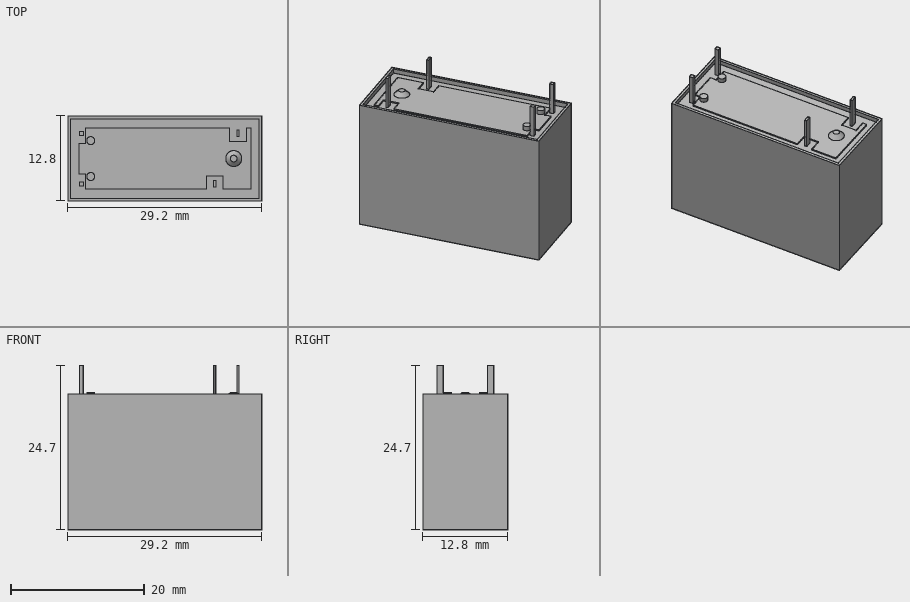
import cadquery as cq

LENGTH = 29.2
WIDTH = 12.8
TOTAL_HEIGHT = 24.74
PIN_PROTRUSION = 4.3
RIM_HEIGHT = TOTAL_HEIGHT - PIN_PROTRUSION
WALL = 0.42
RECESS_DEPTH = 0.7
FLOOR_HEIGHT = RIM_HEIGHT - RECESS_DEPTH

PLATE_THICKNESS = 0.2
PLATE_TOP = FLOOR_HEIGHT + PLATE_THICKNESS
PLATE_LEFT = -11.95
PLATE_RIGHT = 12.95
PLATE_WIDTH = 9.2
TAB_LENGTH = 1.0
TAB_WIDTH = 4.6
NOTCH_LENGTH = 2.5
NOTCH_DEPTH = 2.0

PIN_ROW_Y = 3.8
COIL_PIN_X = -12.55
COIL_PIN_LENGTH = 0.6
COIL_PIN_WIDTH = 0.6
CONTACT_PIN_LENGTH = 0.35
CONTACT_PIN_WIDTH = 1.0
FRONT_CONTACT_X = 7.5
BACK_CONTACT_X = 11.0

STANDOFF_PROTRUSION = 0.2
STANDOFF_TOP = RIM_HEIGHT + STANDOFF_PROTRUSION
STANDOFF_HEIGHT = STANDOFF_TOP - PLATE_TOP
POST_X = -11.15
POST_Y = 2.7
POST_RADIUS = 0.6
CONE_X = 10.35
CONE_BASE_RADIUS = 1.2
CONE_TOP_RADIUS = 0.5

CONTACTS = [(FRONT_CONTACT_X, -1), (BACK_CONTACT_X, 1)]


def block(x, y, z, length, width, height):
    """Box centred on (x, y) with its underside at z."""
    return cq.Workplane("XY", origin=(x, y, z)).rect(length, width).extrude(height)


def housing():
    body = block(0, 0, 0, LENGTH, WIDTH, RIM_HEIGHT)
    recess = block(0, 0, FLOOR_HEIGHT, LENGTH - 2 * WALL, WIDTH - 2 * WALL, RECESS_DEPTH)
    return body.cut(recess)


def base_plate():
    """Panel with a tab at its -X end and a notch around each contact pin."""
    plate_length = PLATE_RIGHT - PLATE_LEFT
    plate_x = (PLATE_RIGHT + PLATE_LEFT) / 2
    plate = block(plate_x, 0, FLOOR_HEIGHT, plate_length, PLATE_WIDTH, PLATE_THICKNESS)
    plate = plate.union(block(PLATE_LEFT, 0, FLOOR_HEIGHT, 2 * TAB_LENGTH, TAB_WIDTH, PLATE_THICKNESS))
    for x, side in CONTACTS:
        notch_y = side * PLATE_WIDTH / 2
        plate = plate.cut(block(x, notch_y, FLOOR_HEIGHT, NOTCH_LENGTH, 2 * NOTCH_DEPTH, PLATE_THICKNESS))
    return plate


def pin(x, side, length, width):
    return block(x, side * PIN_ROW_Y, FLOOR_HEIGHT, length, width, TOTAL_HEIGHT - FLOOR_HEIGHT)


def post(side):
    base = cq.Workplane("XY", origin=(POST_X, side * POST_Y, PLATE_TOP))
    return base.circle(POST_RADIUS).extrude(STANDOFF_HEIGHT)


def cone():
    base_centre = cq.Vector(CONE_X, 0, PLATE_TOP)
    return cq.Solid.makeCone(CONE_BASE_RADIUS, CONE_TOP_RADIUS, STANDOFF_HEIGHT, base_centre)


result = housing().union(base_plate()).union(cone())
for side in (-1, 1):
    result = result.union(post(side))
    result = result.union(pin(COIL_PIN_X, side, COIL_PIN_LENGTH, COIL_PIN_WIDTH))
for contact_x, side in CONTACTS:
    result = result.union(pin(contact_x, side, CONTACT_PIN_LENGTH, CONTACT_PIN_WIDTH))